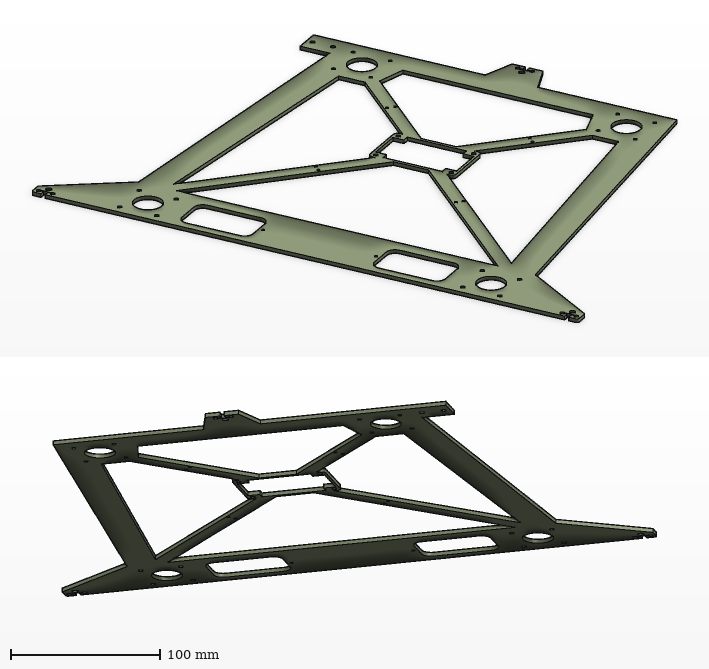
import cadquery as cq

length = 413.5
depth = 320.0
thickness = 2.8
half_length = length / 2

foot_height = 9.5
foot_corner_radius = 1.5
bottom_rail_top = 46.5
top_rail_bottom = 277.5
top_rail_top = 297.0
leg_half_span_bottom = 150.0
leg_half_span_top = 125.5
side_tab_reach = 149.7
nose_half_base = 20.0
nose_half_tip = 11.5

top_opening_half_width = 72.0
top_gusset = (78.0, 256.0)
upper_corner_y = 250.0
leg_inner_top_half_span = 106.0
strut_outer_top_half_span = 86.0
leg_inner_bottom = (128.0, 54.0)
strut_foot_half_span = 121.5
strut_inner_half_span = 13.2
strut_outer_half_span = 27.5

hub_y = 172.5
hub_half_width = 32.5
hub_half_height = 20.0
hub_corner_radius = 3.5
hub_side_wall = 2.0
hub_end_wall = 2.5
hub_lug_inner_x = 22.5
hub_lug_inner_y = 12.5
hub_hole_x = 28.5
hub_hole_y = 16.0
hub_hole_diameter = 3.0

bore_diameter = 20.5
mount_hole_offset = 14.0
upper_mount = (100.0, 272.0)
lower_mount = (130.0, 21.0)
upper_mount_hole_diameter = 2.52
lower_mount_hole_diameter = 3.0

window_x = 73.0
window_y = 21.5
window_width = 53.8
window_height = 30.0
window_corner_radius = 6.5

pilot_diameter = 2.0
window_pilot = (42.5, 21.0)
strut_pilots = [(51.0, 226.5), (55.0, 222.5), (56.0, 122.0), (52.0, 118.5)]

tab_hole_xs = (-145.0, -130.0)
tab_hole_y = 287.0
tab_hole_diameter = 3.4

corner_notch_x = 198.0
stem_width = 3.0
notch_depth = 4.5
slit_width = 1.0
notch_hole_spread = 5.5
notch_hole_depth = 3.7
notch_hole_diameter = 3.0
notch_end_depth = 8.3
notch_end_diameter = 4.0


def prism(points):
    return cq.Workplane("XY").polyline(points).close().extrude(thickness)


def block(x, y, width, height):
    return cq.Workplane("XY").center(x, y).rect(width, height).extrude(thickness)


def pins(centers, diameter):
    return cq.Workplane("XY").pushPoints(centers).circle(diameter / 2).extrude(thickness)


def mirrored(points):
    """The points on the +X side followed by their images, in an order that closes a loop."""
    return points + [(-x, y) for x, y in reversed(points)]


def both_sides(points):
    return [(side * x, y) for side in (1, -1) for x, y in points]


def leg_outer_x(y):
    rise = (y - bottom_rail_top) / (top_rail_top - bottom_rail_top)
    return leg_half_span_bottom + rise * (leg_half_span_top - leg_half_span_bottom)


def outer_plate():
    right_side = [
        (half_length, 0),
        (half_length, foot_height),
        (leg_half_span_bottom, bottom_rail_top),
        (leg_half_span_top, top_rail_top),
        (nose_half_base, top_rail_top),
        (nose_half_tip, depth),
    ]
    plate = prism(mirrored(right_side))
    for side in (1, -1):
        foot_corner = cq.NearestToPointSelector((side * half_length, 0, thickness / 2))
        plate = plate.edges("|Z").edges(foot_corner).fillet(foot_corner_radius)
    side_tab = [
        (-side_tab_reach, top_rail_bottom),
        (-side_tab_reach, top_rail_top),
        (-leg_half_span_top, top_rail_top),
        (-leg_outer_x(top_rail_bottom), top_rail_bottom),
    ]
    return plate.union(prism(side_tab))


def frame_openings():
    hub_top = hub_y + hub_half_height
    hub_bottom = hub_y - hub_half_height
    top = prism(mirrored([
        (top_opening_half_width, top_rail_bottom),
        top_gusset,
        (strut_inner_half_span, hub_top),
    ]))
    bottom = prism(mirrored([
        (strut_inner_half_span, hub_bottom),
        (strut_foot_half_span, bottom_rail_top),
    ]))
    right = [
        (leg_inner_top_half_span, upper_corner_y),
        (strut_outer_top_half_span, upper_corner_y),
        (strut_outer_half_span, hub_top),
        (strut_outer_half_span, hub_bottom),
        leg_inner_bottom,
    ]
    left = [(-x, y) for x, y in right]
    return top.union(bottom).union(prism(right)).union(prism(left))


def hub():
    outer = block(0, hub_y, 2 * hub_half_width, 2 * hub_half_height)
    outer = outer.edges("|Z").fillet(hub_corner_radius)
    inner_half_width = hub_half_width - hub_side_wall
    inner_half_height = hub_half_height - hub_end_wall
    across = block(0, hub_y, 2 * inner_half_width, 2 * hub_lug_inner_y)
    along = block(0, hub_y, 2 * hub_lug_inner_x, 2 * inner_half_height)
    centers = both_sides([(hub_hole_x, hub_y + s * hub_hole_y) for s in (1, -1)])
    return outer, across.union(along).union(pins(centers, hub_hole_diameter))


def motor_mounts(center, hole_diameter):
    x, y = center
    screws = [(x + i * mount_hole_offset, y + j * mount_hole_offset) for i in (1, -1) for j in (1, -1)]
    bores = pins(both_sides([center]), bore_diameter)
    return bores.union(pins(both_sides(screws), hole_diameter))


def rail_windows():
    windows = cq.Workplane("XY").pushPoints(both_sides([(window_x, window_y)]))
    windows = windows.rect(window_width, window_height).extrude(thickness)
    return windows.edges("|Z").fillet(window_corner_radius)


def edge_notch(x, edge_y, inward):
    """Notch in a straight edge at edge_y, cut along Y in the inward direction (+1 or -1)."""
    stem = block(x, edge_y + inward * notch_depth / 2, stem_width, notch_depth)
    slit_y = edge_y + inward * (notch_depth - slit_width / 2)
    slit = block(x, slit_y, 2 * notch_hole_spread, slit_width)
    hole_y = edge_y + inward * notch_hole_depth
    side_holes = pins([(x + s * notch_hole_spread, hole_y) for s in (1, -1)], notch_hole_diameter)
    end_hole = pins([(x, edge_y + inward * notch_end_depth)], notch_end_diameter)
    return stem.union(slit).union(side_holes).union(end_hole)


hub_body, hub_cutout = hub()
result = (
    outer_plate()
    .cut(frame_openings())
    .union(hub_body)
    .cut(hub_cutout)
    .cut(motor_mounts(upper_mount, upper_mount_hole_diameter))
    .cut(motor_mounts(lower_mount, lower_mount_hole_diameter))
    .cut(rail_windows())
    .cut(pins(both_sides([window_pilot] + strut_pilots), pilot_diameter))
    .cut(pins([(x, tab_hole_y) for x in tab_hole_xs], tab_hole_diameter))
    .cut(edge_notch(-corner_notch_x, 0, 1))
    .cut(edge_notch(corner_notch_x, 0, 1))
    .cut(edge_notch(0, depth, -1))
)